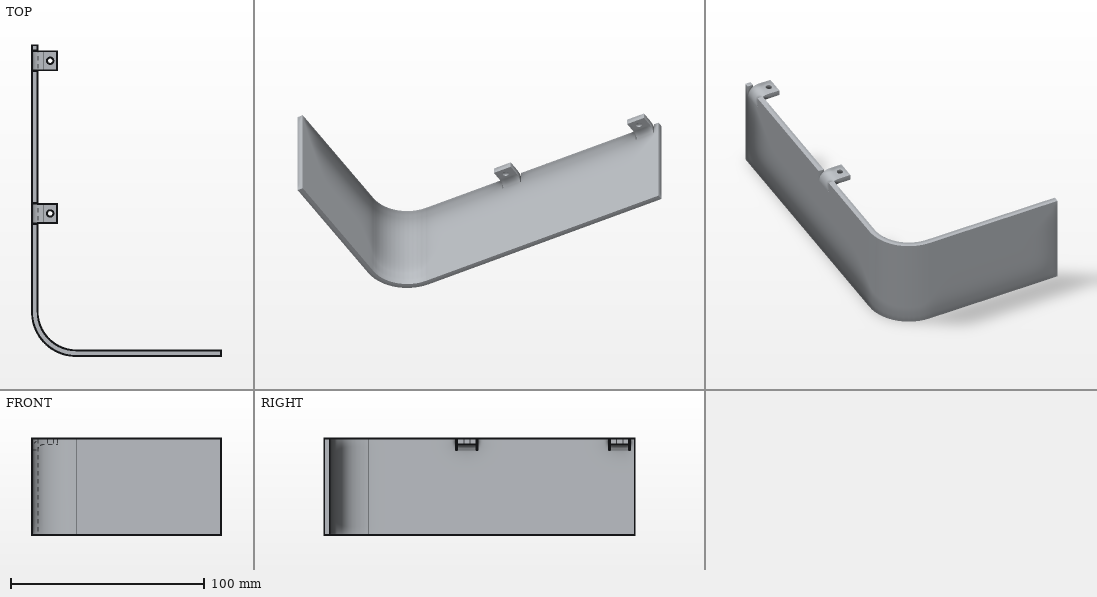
import cadquery as cq

LENGTH = 161.0
WIDTH = 98.0
HEIGHT = 50.0
THICKNESS = 3.0
CORNER_RADIUS = 23.0

TAB_WIDTH = 10.0
TAB_REACH = 13.0
TAB_END_OFFSET = 8.0
TAB_PITCH = 79.0
BEND_RADIUS = 6.0
SLIT_WIDTH = 0.5
HOLE_DIAMETER = 3.2

first_tab_y = LENGTH - TAB_END_OFFSET
tab_centres = [first_tab_y, first_tab_y - TAB_PITCH]
notch_width = TAB_WIDTH + 2 * SLIT_WIDTH
hole_x = (BEND_RADIUS + TAB_REACH) / 2


def make_walls():
    """Two walls at right angles joined by a rounded corner."""
    outer = cq.Workplane("XY").box(WIDTH, LENGTH, HEIGHT, centered=False)
    outer = outer.edges("|Z and <X and <Y").fillet(CORNER_RADIUS)
    inside = (
        cq.Workplane("XY")
        .box(WIDTH, LENGTH, HEIGHT, centered=False)
        .edges("|Z and <X and <Y")
        .fillet(CORNER_RADIUS - THICKNESS)
        .translate((THICKNESS, THICKNESS, 0))
    )
    return outer.cut(inside)


def make_notch(y_centre):
    """Opening in the wall's top edge that leaves a slit on each side of a tab."""
    return (
        cq.Workplane("XY", origin=(0, y_centre, HEIGHT - BEND_RADIUS))
        .box(THICKNESS, notch_width, BEND_RADIUS, centered=(False, True, False))
    )


def make_tab(y_centre):
    """Tab bent inwards from the wall, with a hole in its flat end."""
    bend_bottom = HEIGHT - BEND_RADIUS
    tab_underside = HEIGHT - THICKNESS
    inner_radius = BEND_RADIUS - THICKNESS
    tab = (
        cq.Workplane("XZ", origin=(0, y_centre, 0))
        .moveTo(0, bend_bottom)
        .radiusArc((BEND_RADIUS, HEIGHT), BEND_RADIUS)
        .lineTo(TAB_REACH, HEIGHT)
        .lineTo(TAB_REACH, tab_underside)
        .lineTo(BEND_RADIUS, tab_underside)
        .radiusArc((THICKNESS, bend_bottom), -inner_radius)
        .close()
        .extrude(TAB_WIDTH / 2, both=True)
    )
    hole = (
        cq.Workplane("XY", origin=(hole_x, y_centre, tab_underside))
        .circle(HOLE_DIAMETER / 2)
        .extrude(THICKNESS)
    )
    return tab.cut(hole)


result = make_walls()
for tab_y in tab_centres:
    result = result.cut(make_notch(tab_y)).union(make_tab(tab_y))